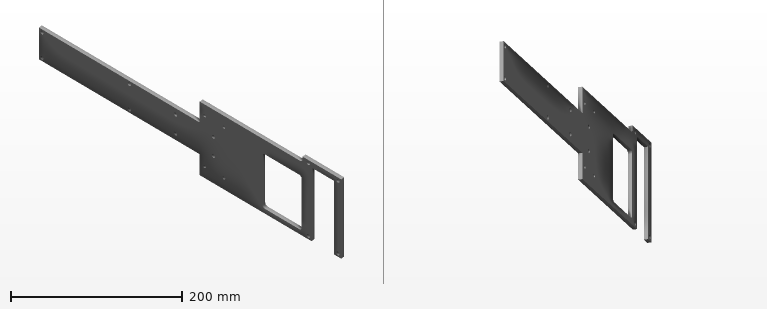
import cadquery as cq

length = 470.0
height = 124.5
thickness = 5.0

body_left = 250.0
body_right = 424.0
body_height = 115.5
body_middle = body_height / 2
arm_height = 50.0
arm_bottom = body_middle - arm_height / 2
arm_top = body_middle + arm_height / 2

bridge_left = 410.0
strip_width = 11.5
strip_left = length - strip_width
step_radius = 4.0

window_left = 347.5
window_bottom = 7.5
window_width = 61.0
window_height = 85.5
window_radius = 4.0

large_hole = 5.0
small_hole = 4.0
edge_inset = 5.0
arm_hole_columns = (4.5, 140.5)
arm_hole_spacing = 40.0
middle_hole_columns = (212.5, 271.0)
middle_hole_spacing = 30.0
body_hole_columns = (257.5, 287.5)
body_hole_spacing = 80.0
end_hole_columns = (body_right - edge_inset, length - edge_inset)
end_hole_rows = (edge_inset, height - edge_inset)


def front_plane():
    """Sketch plane on the front face, with X right and Z up."""
    return cq.Workplane("XZ")


def make_plate():
    """Flat outline of arm, body, bridge and strip, with a rounded inner step."""
    outline = [
        (0, arm_bottom),
        (body_left, arm_bottom),
        (body_left, 0),
        (body_right, 0),
        (body_right, body_height),
        (strip_left, body_height),
        (strip_left, 0),
        (length, 0),
        (length, height),
        (bridge_left, height),
        (bridge_left, body_height),
        (body_left, body_height),
        (body_left, arm_top),
        (0, arm_top),
    ]
    plate = front_plane().polyline(outline).close().extrude(-thickness)
    step_corner = cq.selectors.NearestToPointSelector((bridge_left, thickness / 2, body_height))
    return plate.edges("|Y").edges(step_corner).fillet(step_radius)


def make_window():
    """Cutter for the window with rounded corners."""
    window = (
        front_plane()
        .center(window_left + window_width / 2, window_bottom + window_height / 2)
        .rect(window_width, window_height)
        .extrude(-thickness)
    )
    return window.edges("|Y").fillet(window_radius)


def make_holes(columns, rows, diameter):
    """Cutters for through holes at every crossing of the columns and rows."""
    centres = [(x, z) for x in columns for z in rows]
    return front_plane().pushPoints(centres).circle(diameter / 2).extrude(-thickness)


def rows_about_middle(spacing):
    """Two hole rows placed evenly about the middle of the body."""
    return (body_middle - spacing / 2, body_middle + spacing / 2)


result = make_plate().cut(make_window())

hole_groups = [
    (arm_hole_columns, rows_about_middle(arm_hole_spacing), large_hole),
    (middle_hole_columns, rows_about_middle(middle_hole_spacing), large_hole),
    (body_hole_columns, rows_about_middle(body_hole_spacing), small_hole),
    (end_hole_columns, end_hole_rows, large_hole),
]
for columns, rows, diameter in hole_groups:
    result = result.cut(make_holes(columns, rows, diameter))